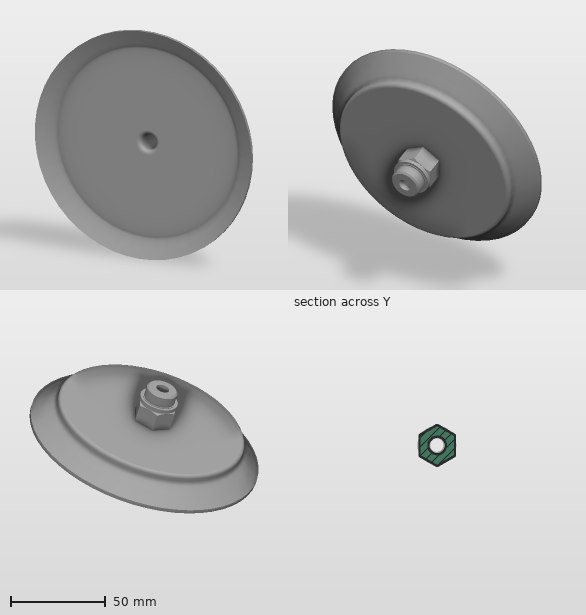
import cadquery as cq
import math


lip_radius = 62.5
lip_height = 2.0
collar_radius = 102.0 / 2
cone_top = 11.4
cone_fillet = 2.5
collar_top = 16.0
collar_round = 1.9

hollow_depth = 6.0
floor_radius = 52.1
floor_fillet = 1.8

hex_across_flats = 19.0
hex_top = 26.4
hex_chamfer_height = 0.8

neck_radius = 17.9 / 2
neck_top = 29.6
ring_radius = 20.5 / 2
ring_bottom = 27.1
ring_top = 29.2
stem_radius = 16.6 / 2
stem_top = 36.0
stem_chamfer = 0.9

bore_radius = 9.0 / 2
passage_radius = 7.0 / 2
bore_end = hex_top
mouth_round = 2.2


def disc(radius, bottom, top):
    """Cylinder on the Y axis between two heights."""
    return cq.Workplane("XZ", origin=(0, bottom, 0)).circle(radius).extrude(bottom - top)


def turned(profile):
    """Revolve a closed (radius, height) profile about the Y axis."""
    return profile.close().revolve(360, (0, 0, 0), (0, 1, 0))


def make_cup():
    cone_angle = math.atan2(lip_radius - collar_radius, cone_top - lip_height)
    tangent_length = cone_fillet * math.tan(cone_angle / 2)
    fillet_start = (
        collar_radius + tangent_length * math.sin(cone_angle),
        cone_top - tangent_length * math.cos(cone_angle),
    )
    fillet_end = (collar_radius, cone_top + tangent_length)
    profile = (
        cq.Workplane("XY")
        .lineTo(lip_radius, 0)
        .lineTo(lip_radius, lip_height)
        .lineTo(*fillet_start)
        .radiusArc(fillet_end, cone_fillet)
        .lineTo(collar_radius, collar_top - collar_round)
        .radiusArc((collar_radius - collar_round, collar_top), -collar_round)
        .lineTo(0, collar_top)
    )
    return turned(profile)


def make_hollow():
    wall_angle = math.atan2(hollow_depth, lip_radius - floor_radius)
    tangent_length = floor_fillet * math.tan(wall_angle / 2)
    fillet_start = (
        floor_radius + tangent_length * math.cos(wall_angle),
        hollow_depth - tangent_length * math.sin(wall_angle),
    )
    fillet_end = (floor_radius - tangent_length, hollow_depth)
    profile = (
        cq.Workplane("XY")
        .lineTo(lip_radius, 0)
        .lineTo(*fillet_start)
        .radiusArc(fillet_end, -floor_fillet)
        .lineTo(0, hollow_depth)
    )
    return turned(profile)


def make_hexagon():
    """Hexagon with corners on the Z axis and its upper corners turned off."""
    corner_radius = hex_across_flats / math.sqrt(3)
    nut = (
        cq.Workplane("XZ", origin=(0, collar_top, 0))
        .transformed(rotate=(0, 0, 90))
        .polygon(6, 2 * corner_radius)
        .extrude(collar_top - hex_top)
    )
    envelope = turned(
        cq.Workplane("XY")
        .moveTo(0, collar_top)
        .lineTo(corner_radius, collar_top)
        .lineTo(corner_radius, hex_top - hex_chamfer_height)
        .lineTo(hex_across_flats / 2, hex_top)
        .lineTo(0, hex_top)
    )
    return nut.intersect(envelope)


def make_stem():
    neck = disc(neck_radius, hex_top, neck_top)
    ring = disc(ring_radius, ring_bottom, ring_top)
    spigot = disc(stem_radius, neck_top, stem_top).faces(">Y").chamfer(stem_chamfer)
    return neck.union(ring).union(spigot)


def make_passage():
    mouth_radius = bore_radius + mouth_round
    profile = (
        cq.Workplane("XY")
        .lineTo(mouth_radius, 0)
        .lineTo(mouth_radius, hollow_depth)
        .radiusArc((bore_radius, hollow_depth + mouth_round), mouth_round)
        .lineTo(bore_radius, bore_end)
        .lineTo(passage_radius, bore_end)
        .lineTo(passage_radius, stem_top)
        .lineTo(0, stem_top)
    )
    return turned(profile)


body = make_cup().cut(make_hollow())
result = body.union(make_hexagon()).union(make_stem()).cut(make_passage())